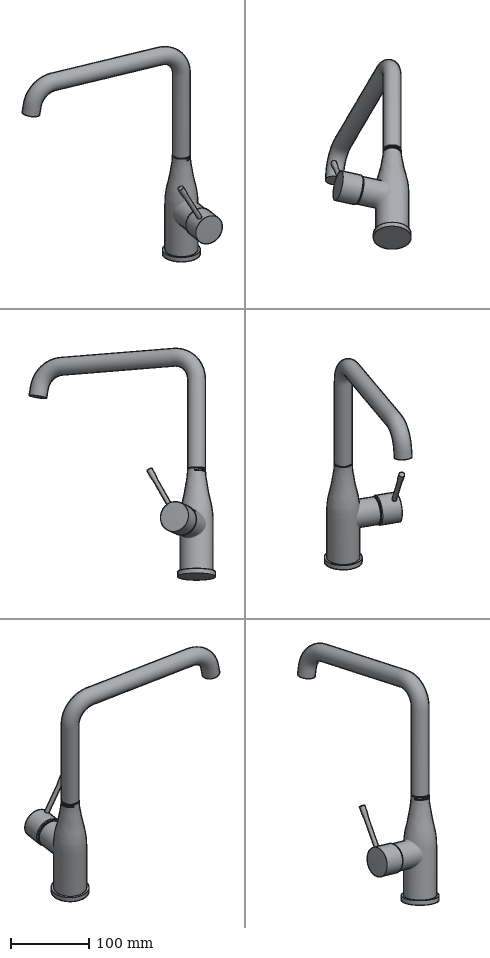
import cadquery as cq
import math

total_height = 300.0

flange_radius = 24.3
flange_height = 6.3
column_radius = 21.3
shoulder_bottom = 70.5
shoulder_top = 140.0
collar_radius = 11.7
shoulder_curve = [(19.8, 90.5), (16.2, 107.0), (13.5, 122.5)]

slot_bottom = 136.5
slot_height = 1.8
slot_depth = 1.0
slot_front = 2.0

neck_height = 65.0
neck_radius = 36.3 / 2
neck_end = 44.7
neck_edge_length = 1.5
neck_edge_drop = 0.45
neck_fillet = 1.5
shaft_radius = 16.5

tube_radius = 23.0 / 2
bend_radius = 31.2
second_bend_start = 187.2
second_bend_angle = 80.0
outlet_length = 11.7
seat_gap = 1.0
spigot_radius = 10.0

cap_radius = 19.5
cap_start = 45.5
cap_end = 73.5
cap_edge = 1.2
dome_height = 0.5
lever_x = 66.0
lever_tilt = 30.0
lever_length = 75.3
stem_radius = 6.0 / 2
grip_radius = 7.5 / 2
grip_length = 9.0
taper_length = 8.0

spout_bottom = shoulder_top + seat_gap
arm_height = total_height - tube_radius
cap_tip = cap_end + dome_height
dome_radius = (cap_radius**2 + dome_height**2) / (2 * dome_height)


def side_cylinder(radius, start, end):
    """Cylinder on the neck axis between two X positions."""
    return (
        cq.Workplane("YZ", origin=(start, 0, neck_height))
        .circle(radius)
        .extrude(end - start)
    )


def make_column():
    profile = (
        cq.Workplane("XZ")
        .lineTo(flange_radius, 0)
        .lineTo(flange_radius, flange_height)
        .lineTo(column_radius, flange_height)
        .lineTo(column_radius, shoulder_bottom)
        .spline(
            [*shoulder_curve, (collar_radius, shoulder_top)],
            tangents=[(0, 1), (0, 1)],
            includeCurrent=True,
        )
        .lineTo(0, shoulder_top)
        .close()
    )
    return profile.revolve(360, (0, 0, 0), (0, 1, 0))


def make_slot():
    """Half ring that cuts the slot into the rear of the collar."""
    ring = (
        cq.Workplane("XY", origin=(0, 0, slot_bottom))
        .circle(column_radius)
        .circle(collar_radius - slot_depth)
        .extrude(slot_height)
    )
    rear = (
        cq.Workplane("XY", origin=(0, slot_front, slot_bottom))
        .rect(2 * column_radius, column_radius)
        .extrude(slot_height)
        .translate((0, column_radius / 2, 0))
    )
    return ring.intersect(rear)


def make_neck():
    """Side neck with a narrow beveled end and a thinner shaft that meets the cap."""
    profile = (
        cq.Workplane("XY", origin=(0, 0, neck_height))
        .lineTo(0, neck_radius)
        .lineTo(neck_end - neck_edge_length, neck_radius)
        .lineTo(neck_end, neck_radius - neck_edge_drop)
        .lineTo(neck_end, shaft_radius)
        .lineTo(cap_start, shaft_radius)
        .lineTo(cap_start, 0)
        .close()
    )
    return profile.revolve(360, (0, 0, 0), (1, 0, 0))


def make_housing():
    body = make_column().union(make_neck())
    reach = neck_radius + neck_fillet
    junction = cq.selectors.BoxSelector(
        (0, -reach, neck_height - reach),
        (column_radius, reach, neck_height + reach),
    )
    junction_edges = body.edges(junction).edges("not %CIRCLE").edges("not %LINE")
    body = junction_edges.fillet(neck_fillet)
    return body.cut(make_slot())


def make_spout():
    """Round tube along a path of two bends, on a short spigot above the housing."""
    turn = math.radians(second_bend_angle)
    bend_end_y = -second_bend_start - bend_radius * math.sin(turn)
    bend_end_z = arm_height - bend_radius * (1 - math.cos(turn))
    outlet_y = bend_end_y - outlet_length * math.cos(turn)
    outlet_z = bend_end_z - outlet_length * math.sin(turn)
    path = (
        cq.Workplane("YZ")
        .moveTo(0, spout_bottom)
        .lineTo(0, arm_height - bend_radius)
        .tangentArcPoint((-bend_radius, arm_height), relative=False)
        .lineTo(-second_bend_start, arm_height)
        .tangentArcPoint((bend_end_y, bend_end_z), relative=False)
        .lineTo(outlet_y, outlet_z)
    )
    tube = cq.Workplane("XY", origin=(0, 0, spout_bottom)).circle(tube_radius).sweep(path)
    spigot = (
        cq.Workplane("XY", origin=(0, 0, shoulder_top))
        .circle(spigot_radius)
        .extrude(seat_gap)
    )
    return tube.union(spigot)


def make_lever():
    """Slim lever with a thicker grip, tilted from the cap axis toward -Y."""
    grip_start = lever_length - grip_length
    lever = (
        cq.Workplane("XZ")
        .lineTo(stem_radius, 0)
        .lineTo(stem_radius, grip_start - taper_length)
        .lineTo(grip_radius, grip_start)
        .lineTo(grip_radius, lever_length)
        .lineTo(0, lever_length)
        .close()
        .revolve(360, (0, 0, 0), (0, 1, 0))
    )
    lever = lever.rotate((0, 0, 0), (1, 0, 0), lever_tilt)
    return lever.translate((lever_x, 0, neck_height))


def make_handle():
    """Cap with a slightly domed end, and the lever that rises from it."""
    cap = side_cylinder(cap_radius, cap_start, cap_end).edges("<X").chamfer(cap_edge)
    dome = (
        cq.Workplane("XY", origin=(0, 0, neck_height))
        .moveTo(cap_end, 0)
        .lineTo(cap_tip, 0)
        .radiusArc((cap_end, cap_radius), -dome_radius)
        .close()
        .revolve(360, (0, 0, 0), (1, 0, 0))
    )
    return cap.union(dome).union(make_lever())


housing = make_housing()
spout = make_spout()
handle = make_handle()

result = cq.Compound.makeCompound([housing.val(), spout.val(), handle.val()])